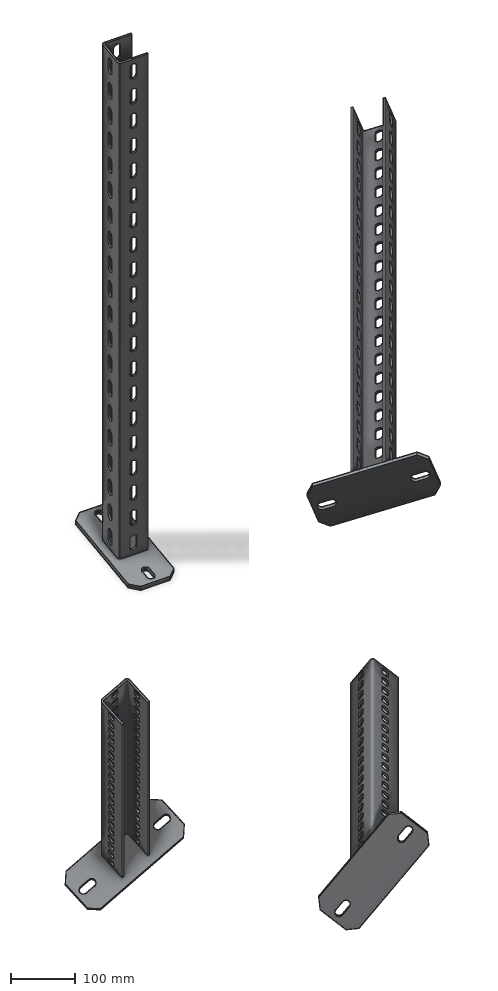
import cadquery as cq

total_height = 1008.0
plate_length = 200.0
plate_width = 80.0
plate_thickness = 8.0
corner_chamfer = 14.0

anchor_slot_length = 30.0
anchor_slot_width = 13.0
anchor_slot_spacing = 153.0

post_width = 56.0
post_depth = 51.0
wall_thickness = 3.5
bend_radius = 5.0
inner_bend_radius = bend_radius - wall_thickness
post_height = total_height - plate_thickness

slot_count = 20
slot_length = 30.0
slot_width = 12.0
slot_pitch = post_height / slot_count
slot_heights = [plate_thickness + (i + 0.5) * slot_pitch for i in range(slot_count)]


def make_base_plate():
    """Flat plate with cut corners and two anchor slots, bottom face on Z = 0."""
    plate = cq.Workplane("XY").rect(plate_length, plate_width).extrude(plate_thickness)
    plate = plate.edges("|Z").chamfer(corner_chamfer)
    half_spacing = anchor_slot_spacing / 2
    anchor_slots = (
        cq.Workplane("XY")
        .pushPoints([(-half_spacing, 0), (half_spacing, 0)])
        .slot2D(anchor_slot_length, anchor_slot_width)
        .extrude(plate_thickness)
    )
    return plate.cut(anchor_slots)


def make_channel():
    """Plain bent channel standing on the base plate."""
    outer = cq.Workplane("XY").workplane(offset=plate_thickness).rect(post_width, post_depth)
    outer = outer.extrude(post_height).edges("|Z and <Y").fillet(bend_radius)
    inner = (
        cq.Workplane("XY")
        .workplane(offset=plate_thickness)
        .center(0, wall_thickness / 2)
        .rect(post_width - 2 * wall_thickness, post_depth - wall_thickness)
        .extrude(post_height)
        .edges("|Z and <Y")
        .fillet(inner_bend_radius)
    )
    return outer.cut(inner)


def make_slot_cutters(plane, cut_depth):
    """Column of upright slots extruded along the normal of the given plane."""
    return (
        cq.Workplane(plane)
        .pushPoints([(0, height) for height in slot_heights])
        .slot2D(slot_length, slot_width, 90)
        .extrude(cut_depth)
    )


def make_post():
    """Channel with slots through the web (toward -Y) and through both flanges."""
    web_slots = make_slot_cutters("XZ", post_depth)
    right_flange_slots = make_slot_cutters("YZ", post_width)
    left_flange_slots = make_slot_cutters("YZ", -post_width)
    return make_channel().cut(web_slots).cut(right_flange_slots).cut(left_flange_slots)


base_plate = make_base_plate()
post = make_post()

result = cq.Compound.makeCompound([base_plate.val(), post.val()])